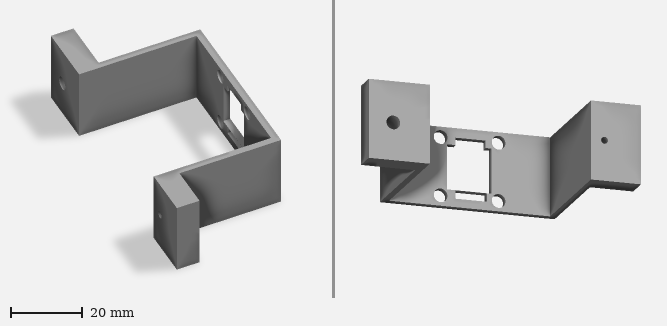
import cadquery as cq

length = 79.7
depth = 38.5
height = 23.0

wall = 2.0
back_wall = 2.15
channel_left = 15.9
channel_width = 51.2
channel_right = channel_left + channel_width
foot_thickness = 7.0

left_foot_hole = (7.2, 11.0, 4.0)
right_foot_hole = (69.0, 11.8, 2.0)

mount_diameter = 4.0
mount_spacing = 17.0
mount_center_x = 41.45
mount_center_z = height / 2

window_left, window_right = 34.8, 47.8
window_bottom, window_top = 4.95, 18.1
notch_left, notch_right = 37.4, 46.15
notch_top = 20.25
slot_left, slot_right = notch_left, 46.55
slot_bottom = 2.5
web_thickness = 0.04


def box(x_min, x_max, y_min, y_max, z_min, z_max):
    """Axis-aligned block between the given limits."""
    size = (x_max - x_min, y_max - y_min, z_max - z_min)
    block = cq.Workplane("XY").box(*size, centered=False)
    return block.translate((x_min, y_min, z_min))


def back_opening(x_min, x_max, z_min, z_max):
    """Rectangular cutter through the back wall."""
    return box(x_min, x_max, depth - back_wall, depth, z_min, z_max)


def hole(x, z, diameter, y_min, y_max):
    """Round cutter along Y."""
    start = cq.Workplane("XZ", origin=(x, y_min, z))
    return start.circle(diameter / 2).extrude(y_min - y_max)


body = box(channel_left, channel_right, 0, depth, 0, height)
body = body.union(box(0, length, 0, foot_thickness, 0, height))
body = body.cut(box(channel_left + wall, channel_right - wall, 0, depth - back_wall, 0, height))

for foot_hole in (left_foot_hole, right_foot_hole):
    body = body.cut(hole(*foot_hole, 0, foot_thickness))

for x_side in (-1, 1):
    for z_side in (-1, 1):
        mount_x = mount_center_x + x_side * mount_spacing / 2
        mount_z = mount_center_z + z_side * mount_spacing / 2
        body = body.cut(hole(mount_x, mount_z, mount_diameter, depth - back_wall, depth))

body = body.cut(back_opening(window_left, window_right, window_bottom, window_top))
body = body.cut(back_opening(notch_left, notch_right, window_top, notch_top))
body = body.cut(back_opening(slot_left, slot_right, slot_bottom, window_bottom - web_thickness))

result = body